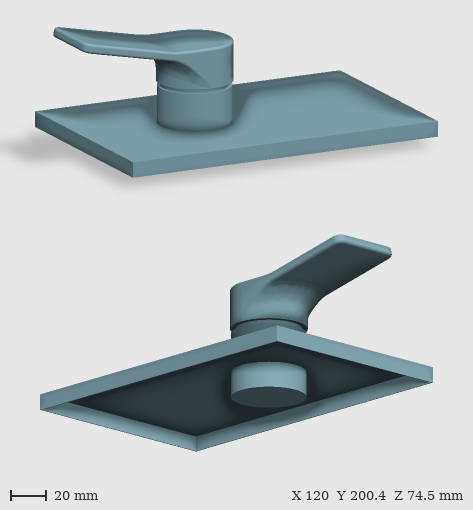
import cadquery as cq
import math


plate_width = 120.0
plate_length = 190.3
plate_height = 9.0
plate_wall = 0.6
plate_bottom = 6.0
plate_front = 69.0

sleeve_radius = 21.0
sleeve_height = 36.8

neck_height = 2.6
neck_bottom_radius = 19.5
neck_top_radius = 18.6

hub_radius = 21.6
hub_top = 62.7
handle_bottom = sleeve_height + neck_height
blade_reach = 79.1
blade_angle = 12.0
blade_thickness = 5.5
bend_start = 16.5
bend_radius = 48.0
underside_radius = 13.0
tip_corner_radius = 5.0
edge_radius = 1.6

far = 2 * blade_reach
tilt = math.radians(blade_angle)
bend_end = bend_start + bend_radius * math.sin(tilt)
bend_end_top = hub_top + bend_radius * (1 - math.cos(tilt))


def blade_top_at(y):
    """Height of the straight part of the blade's top, extended to any Y."""
    return bend_end_top + (-y - bend_end) * math.tan(tilt)


def blade_underside_at(y):
    """Height of the blade's flat underside at any Y."""
    return blade_top_at(y) - blade_thickness / math.cos(tilt)


def make_plate():
    """Thin-walled tray, open underneath, with a hole for the sleeve."""
    centre_y = plate_length / 2 - plate_front
    base = cq.Workplane("XY", origin=(0, centre_y, plate_bottom))
    outside = base.rect(plate_width, plate_length).extrude(plate_height)
    inside = base.rect(plate_width - 2 * plate_wall, plate_length - 2 * plate_wall).extrude(
        plate_height - plate_wall
    )
    return outside.cut(inside).cut(make_sleeve())


def make_sleeve():
    return cq.Workplane("XY").circle(sleeve_radius).extrude(sleeve_height)


def make_neck():
    """Short cone that fills the gap between the sleeve and the handle."""
    foot = cq.Vector(0, 0, sleeve_height)
    return cq.Workplane(cq.Solid.makeCone(neck_bottom_radius, neck_top_radius, neck_height, foot))


def make_handle_blank():
    """Bent side profile across the full width, with rounded tip corners and a solid foot under the hub."""
    rounding_loss = edge_radius * (math.cos(tilt) + math.sin(tilt) - 1)
    tip_bottom_reach = blade_reach + rounding_loss
    tip_top_reach = tip_bottom_reach - blade_thickness * math.sin(tilt)
    bend_middle = (
        -bend_start - bend_radius * math.sin(tilt / 2),
        hub_top + bend_radius * (1 - math.cos(tilt / 2)),
    )
    foot_reach = hub_radius + 2 * underside_radius
    profile = (
        cq.Workplane("YZ")
        .moveTo(hub_radius, handle_bottom)
        .lineTo(hub_radius, hub_top)
        .lineTo(-bend_start, hub_top)
        .threePointArc(bend_middle, (-bend_end, bend_end_top))
        .lineTo(-tip_top_reach, blade_top_at(-tip_top_reach))
        .lineTo(-tip_bottom_reach, blade_underside_at(-tip_bottom_reach))
        .lineTo(-foot_reach, blade_underside_at(-foot_reach))
        .lineTo(-foot_reach, handle_bottom)
        .close()
    )
    blank = profile.extrude(hub_radius, both=True)
    return blank.faces("<Y").edges("not |X").fillet(tip_corner_radius)


def make_plan_outline():
    """Upright prism with the half-round back of the hub and straight sides past the blade tip."""
    return (
        cq.Workplane("XY")
        .moveTo(hub_radius, 0)
        .threePointArc((0, hub_radius), (-hub_radius, 0))
        .lineTo(-hub_radius, -far)
        .lineTo(hub_radius, -far)
        .close()
        .extrude(far)
    )


def make_underside_space():
    """Space under the blade and around the hub, rounded where the two meet."""
    space = (
        cq.Workplane("YZ")
        .moveTo(0, 0)
        .lineTo(0, blade_underside_at(0))
        .lineTo(-far, blade_underside_at(-far))
        .lineTo(-far, 0)
        .close()
        .extrude(far, both=True)
    )
    hub = cq.Workplane("XY").circle(hub_radius).extrude(far)
    return space.cut(hub).edges("%ELLIPSE").fillet(underside_radius)


def make_handle():
    handle = make_handle_blank().intersect(make_plan_outline()).cut(make_underside_space())
    handle = handle.edges(">Z").fillet(edge_radius)
    return handle.edges("<Y").fillet(edge_radius)


plate = make_plate()
sleeve = make_sleeve()
neck = make_neck()
handle = make_handle()

result = cq.Compound.makeCompound([plate.val(), sleeve.val(), neck.val(), handle.val()])